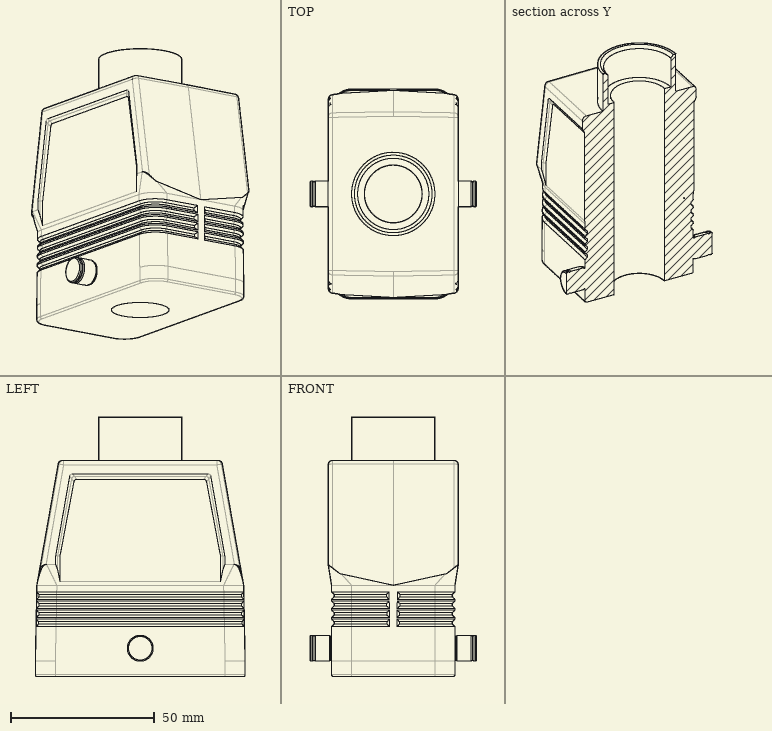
import cadquery as cq
import math

SKIRT_X = 43.0
RIM_Y = 73.0
SHOULDER_Y = 72.0
CORNER_R = 7.0
RIM_H = 5.4
RIM_EDGE_R = 0.7
SHOULDER_Z = 31.8

HOOD_X = 45.3
HOOD_TOP_Z = 75.25
END_SLOPE = math.radians(10)
END_FOLD = math.radians(1)
HOOD_EDGE_R = 1.6
FLARE_TOP_Z = 39.0
FACET_TOP_Y = 68.3
CREASE_END_X = 18.6
CREASE_END_Z = 35.85

TOTAL_H = 90.25
COLLAR_R = 14.5
SOCKET_R = 12.4
SOCKET_CHAMFER = 1.1
SOCKET_DEPTH = 12.7
BORE_R = 10.0

PIN_TIP_X = 29.0
PIN_Z = 9.9
PIN_R = 4.5
PIN_CHAMFER = 0.4
PIN_GROOVE_DEPTH = 0.3
PIN_GROOVE_START = 27.1
PIN_GROOVE_W = 0.9
PIN_NECK_END = 22.2

GRIP_BOTTOM_Z = 17.4
GRIP_TOP_Z = 29.5
GROOVE_COUNT = 4
GROOVE_DEPTH = 0.9
GROOVE_FLOOR_W = 0.85
CREST_W = 0.55
WEB_HALF_W = 1.35

RECESS_DEPTH = 0.94
RECESS_BEND_Z = 42.0
RECESS_TOP_Z = 70.5
RECESS_TOP_HALF = 24.4
RECESS_BEND_HALF = 29.4
RECESS_WALL_TOP = 1.9
RECESS_WALL_SIDE = 1.5
RECESS_LIP_INSET = 0.46
RECESS_LIP_DEPTH = 0.3
RECESS_CORNER_R = 1.0

CLEARANCE = 5.0


def rounded_plate(size_x, size_y, radius, bottom_z, height, taper=0.0):
    """Upright rounded-rectangle block, optionally tapered."""
    sketch = cq.Sketch().rect(size_x, size_y).vertices().fillet(radius)
    return cq.Workplane("XY", origin=(0, 0, bottom_z)).placeSketch(sketch).extrude(height, taper=taper)


def rounded_loft(bottom, top, bottom_z, top_z):
    """Ruled loft between two (size_x, size_y, radius) rounded rectangles."""
    sketches = []
    for (size_x, size_y, radius), z in ((bottom, bottom_z), (top, top_z)):
        sketch = cq.Sketch().rect(size_x, size_y).vertices().fillet(radius)
        sketches.append(sketch.moved(cq.Location(cq.Vector(0, 0, z))))
    return cq.Workplane("XY").placeSketch(*sketches).loft(ruled=True)


def skirt_length(z):
    """Skirt length along Y at height z of the drafted zone."""
    return RIM_Y + (SHOULDER_Y - RIM_Y) * (z - RIM_H) / (SHOULDER_Z - RIM_H)


def make_skirt():
    rim = rounded_plate(SKIRT_X, RIM_Y, CORNER_R, 0, RIM_H).faces("<Z").edges().fillet(RIM_EDGE_R)
    wall = rounded_loft(
        (SKIRT_X, RIM_Y, CORNER_R), (SKIRT_X, SHOULDER_Y, CORNER_R), RIM_H, SHOULDER_Z
    )
    return rim.union(wall)


def hood_outline(z):
    """Six-cornered hood section at height z."""
    half_x = HOOD_X / 2
    ridge_y = SHOULDER_Y / 2 - (z - SHOULDER_Z) * math.tan(END_SLOPE)
    corner_y = ridge_y - half_x * math.tan(END_FOLD)
    return [
        (half_x, corner_y),
        (0, ridge_y),
        (-half_x, corner_y),
        (-half_x, -corner_y),
        (0, -ridge_y),
        (half_x, -corner_y),
    ]


def make_hood():
    height = HOOD_TOP_Z - SHOULDER_Z
    block = (
        cq.Workplane("XY", origin=(0, 0, SHOULDER_Z))
        .polyline(hood_outline(SHOULDER_Z))
        .close()
        .workplane(offset=height)
        .polyline(hood_outline(HOOD_TOP_Z))
        .close()
        .loft(ruled=True)
    )
    corner_edges = block.faces("<X or >X").edges("not |Y")
    rim_edges = block.faces(">Z").edges()
    block = corner_edges.add(rim_edges).fillet(HOOD_EDGE_R)

    wedge = (
        cq.Workplane("XZ")
        .moveTo(0, SHOULDER_Z)
        .lineTo(CREASE_END_X, CREASE_END_Z)
        .lineTo(HOOD_X / 2, FLARE_TOP_Z)
        .lineTo(HOOD_X / 2, HOOD_TOP_Z)
        .lineTo(-HOOD_X / 2, HOOD_TOP_Z)
        .lineTo(-HOOD_X / 2, FLARE_TOP_Z)
        .lineTo(-CREASE_END_X, CREASE_END_Z)
        .close()
        .extrude(SHOULDER_Y / 2, both=True)
    )
    flare = rounded_loft(
        (SKIRT_X, SHOULDER_Y, CORNER_R), (HOOD_X, FACET_TOP_Y, HOOD_EDGE_R), SHOULDER_Z, FLARE_TOP_Z
    )
    return block.intersect(wedge).union(flare)


def recess_section(inset, depth):
    """Recess outline at a fraction of the wall inset, placed at the given depth."""
    bend = RECESS_BEND_HALF - inset * RECESS_WALL_SIDE
    top = RECESS_TOP_HALF - inset * RECESS_WALL_SIDE
    top_z = RECESS_TOP_Z - inset * RECESS_WALL_TOP
    outline = [
        (-bend, SHOULDER_Z),
        (bend, SHOULDER_Z),
        (bend, RECESS_BEND_Z),
        (top, top_z),
        (-top, top_z),
        (-bend, RECESS_BEND_Z),
        (-bend, SHOULDER_Z),
    ]
    sketch = cq.Sketch().polygon(outline).vertices(">Y").fillet(RECESS_CORNER_R)
    return sketch.moved(cq.Location(cq.Vector(0, 0, -depth)))


def make_recess_cutter():
    """Cutter for the +X side; its wall has a shallow lip and a steeper lower part."""
    lip_section = recess_section(RECESS_LIP_INSET, RECESS_LIP_DEPTH)
    side = cq.Workplane("YZ", origin=(HOOD_X / 2, 0, 0))
    lip = side.placeSketch(recess_section(0, 0), lip_section).loft(ruled=True)
    lower = side.placeSketch(lip_section, recess_section(1, RECESS_DEPTH)).loft(ruled=True)
    return lip.union(lower)


def make_grip_groove(bottom_z, width):
    """Trapezoidal groove running around the whole skirt."""
    size_y = skirt_length(bottom_z + width / 2)
    flank_h = (width - GROOVE_FLOOR_W) / 2
    flank_angle = math.degrees(math.atan(GROOVE_DEPTH / flank_h))
    floor_z = bottom_z + flank_h
    middle_z = bottom_z + width / 2

    lower_core = rounded_plate(SKIRT_X, size_y, CORNER_R, bottom_z, flank_h, flank_angle)
    upper_core = lower_core.mirror("XY", (0, 0, middle_z))
    floor_core = rounded_plate(
        SKIRT_X - 2 * GROOVE_DEPTH,
        size_y - 2 * GROOVE_DEPTH,
        CORNER_R - GROOVE_DEPTH,
        floor_z,
        GROOVE_FLOOR_W,
    )
    slab = cq.Workplane("XY", origin=(0, 0, bottom_z)).box(
        SKIRT_X + CLEARANCE, size_y + CLEARANCE, width, centered=(True, True, False)
    )
    return slab.cut(lower_core).cut(upper_core).cut(floor_core)


def make_web():
    """Bar along Y, widening inward at 45 degrees, that the grooves stop at."""
    face_y = skirt_length((GRIP_BOTTOM_Z + GRIP_TOP_Z) / 2) / 2
    outer_y = face_y + CLEARANCE
    root_y = face_y - 2 * GROOVE_DEPTH
    root_half_w = WEB_HALF_W + 2 * GROOVE_DEPTH
    bar = (
        cq.Workplane("XY", origin=(0, 0, GRIP_BOTTOM_Z))
        .moveTo(-WEB_HALF_W, outer_y)
        .lineTo(-WEB_HALF_W, face_y)
        .lineTo(-root_half_w, root_y)
        .lineTo(root_half_w, root_y)
        .lineTo(WEB_HALF_W, face_y)
        .lineTo(WEB_HALF_W, outer_y)
        .close()
        .extrude(GRIP_TOP_Z - GRIP_BOTTOM_Z)
    )
    return bar.union(bar.mirror("XZ"))


def cut_grip(body):
    width = (GRIP_TOP_Z - GRIP_BOTTOM_Z - (GROOVE_COUNT - 1) * CREST_W) / GROOVE_COUNT
    web = make_web()
    for index in range(GROOVE_COUNT):
        bottom_z = GRIP_BOTTOM_Z + index * (width + CREST_W)
        body = body.cut(make_grip_groove(bottom_z, width).cut(web))
    return body


def make_pin():
    """Pin on the +X side, turned about its own axis."""
    low_r = PIN_R - PIN_GROOVE_DEPTH
    groove_end = PIN_GROOVE_START + PIN_GROOVE_W
    groove_middle = PIN_GROOVE_START + PIN_GROOVE_W / 2
    root_x = SKIRT_X / 2 - CLEARANCE
    return (
        cq.Workplane("XZ", origin=(0, 0, PIN_Z))
        .moveTo(root_x, 0)
        .lineTo(root_x, low_r)
        .lineTo(PIN_NECK_END - PIN_GROOVE_DEPTH, low_r)
        .lineTo(PIN_NECK_END, PIN_R)
        .lineTo(PIN_GROOVE_START, PIN_R)
        .lineTo(groove_middle, low_r)
        .lineTo(groove_end, PIN_R)
        .lineTo(PIN_TIP_X - PIN_CHAMFER, PIN_R)
        .lineTo(PIN_TIP_X, PIN_R - PIN_CHAMFER)
        .lineTo(PIN_TIP_X, 0)
        .close()
        .revolve(360, (0, 0, 0), (1, 0, 0))
    )


def add_collar(body):
    collar = cq.Workplane("XY", origin=(0, 0, SHOULDER_Z)).circle(COLLAR_R).extrude(TOTAL_H - SHOULDER_Z)
    bore = cq.Workplane("XY").circle(BORE_R).extrude(TOTAL_H)
    mouth = cq.Workplane("XY", origin=(0, 0, TOTAL_H))
    socket = mouth.circle(SOCKET_R).extrude(-SOCKET_DEPTH)
    chamfer = mouth.circle(SOCKET_R + SOCKET_CHAMFER).extrude(-SOCKET_CHAMFER, taper=45)
    socket = socket.union(chamfer)
    return body.union(collar).cut(bore).cut(socket)


hood = make_hood()
recess = make_recess_cutter()
hood = hood.cut(recess).cut(recess.mirror("YZ"))
skirt = cut_grip(make_skirt())
pin = make_pin()
result = add_collar(skirt.union(hood).union(pin).union(pin.mirror("YZ")))